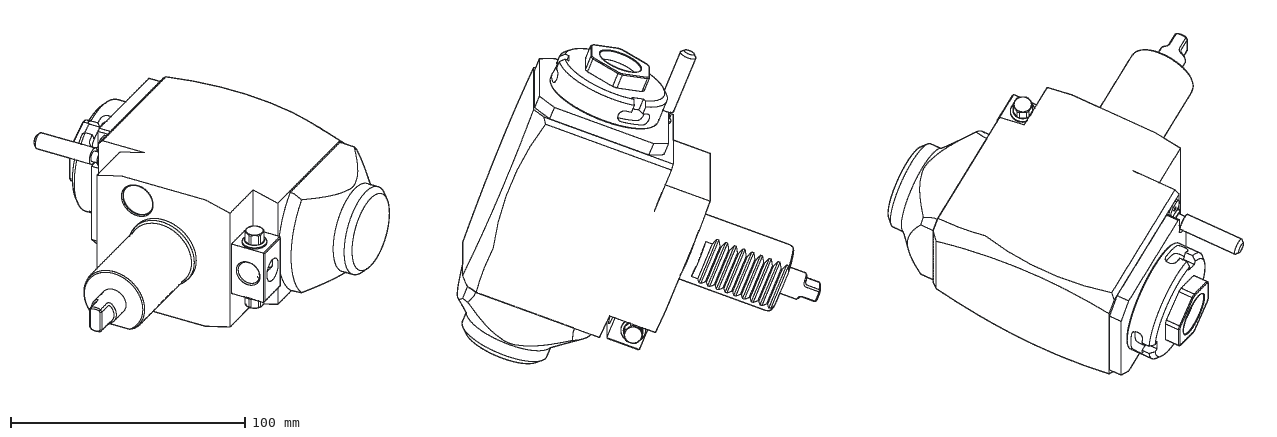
import cadquery as cq
import math


HALF_HEIGHT = 31.97
REAR_Y = 85.0
STEP_Y = 21.0
HEAD_LEFT_X = -42.6
HEAD_RIGHT_X = 44.1
FOOT_HALF_WIDTH = 32.2
TAPER_START_X = 20.3
TAPER_SLOPE = math.tan(math.radians(15))
LEFT_CHAMFER = 2.0
RIGHT_REAR_CHAMFER = 3.2
CROWN_RADIUS = 125.0
CROWN_CENTER_X = -9.5
CROWN_FRONT_Y = 82.6
PLUG_X = -12.6
PLUG_Z = 21.8
PLUG_RADIUS = 7.6
PLUG_DEPTH = 0.9
PLUG_CHAMFER = 0.5

SHANK_RADIUS = 15.0
SHANK_END_Y = -45.3
COLLAR_RADIUS = 15.9
COLLAR_LENGTH = 1.8
COLLAR_BEVEL = 0.9
LEAD_TAPER_LENGTH = 1.3
LEAD_TAPER_DEPTH = 0.3
SHANK_CHAMFER = 0.6
RACK_FLAT_Z = -12.3
RACK_START_Y = -7.2
TOOTH_PITCH = 4.0
TOOTH_DEPTH = 1.8
TOOTH_COUNT = 9
VALLEY_MOUTH = 3.5
VALLEY_FLOOR = 0.9
FIRST_VALLEY_Y = -11.9
DRIVE_RADIUS = 6.0
DRIVE_END_Y = -62.0
TANG_START_Y = -54.8
TANG_HALF_WIDTH = 3.0
TANG_CHAMFER = 0.6
TANG_SIDE_CHAMFER = 0.7
TANG_ROOT_RADIUS = 0.9

SPINDLE_Y = 55.0
PLATE_LEFT_X = -48.2
PLATE_HALF_HEIGHT = 29.5
PLATE_FRONT_Y = 25.3
PLATE_REAR_Y = 84.5
PLATE_CORNER = 6.9
NOTCH_Y = 31.5
NOTCH_Z = 14.4
NOTCH_CHAMFER = 1.0
NOTCH_FILLET = 4.7
NUT_RADIUS = 24.8
NUT_LEFT_X = -61.0
NUT_FRONT_CHAMFER = 1.9
NUT_BACK_CHAMFER = 0.5
SLOT_FLOOR_RADIUS = 21.0
SLOT_WIDTH = 5.3
SLOT_HALF_ANGLE = 13.0
SLOT_X = -53.0
KEYWAY_WIDTH = 6.0
SLOT_COUNT = 3
HEX_ACROSS_FLATS = 26.9
HEX_CORNER_RADIUS = 15.0
HEX_LEFT_X = -67.8
HEX_CHAMFER = 0.5
BORE_RADIUS = 9.4
BORE_DEPTH = 4.4
BORE_CHAMFER = 0.3

PIN_Y = 26.5
PIN_Z = 18.89
PIN_TIP_X = -75.4
PIN_SHOULDER_X = -47.9
PIN_RADIUS = 3.6
PIN_TIP_CHAMFER = 1.3
NECK_RADIUS = 2.4
NECK_END_X = -44.5
FLARE_START_RADIUS = 3.1
DISC_Z = 26.2
DISC_RADIUS = 4.04
DISC_THICKNESS = 0.9
DISC_HOLE_RADIUS = 0.9

CAP_RADIUS = 33.5
CAP_REAR_Y = 81.3
CAP_STRAIGHT_END_X = 50.3
CAP_LAND_END_X = 45.9
CAP_LAND_HALF_HEIGHT = 24.7
CAP_CONE_END_X = 61.5
CAP_CONE_END_RADIUS = 21.0
RING_START_X = 63.2
RING_RADIUS = 19.5
RING_END_X = 71.0
RING_CHAMFER = 2.5

CLAMP_RIGHT_X = 48.0
CLAMP_FRONT_Y = 1.3
CLAMP_REAR_Y = 16.3
CLAMP_HALF_HEIGHT = 12.5
CLAMP_CHAMFER = 0.5
CLAMP_HOLE_RADIUS = 5.1
CLAMP_HOLE_CHAMFER = 0.6
BOLT_X = 40.3
BOLT_Y = 7.0
BOLT_ACROSS_FLATS = 7.6
BOLT_CORNER_RADIUS = 4.1
BOLT_CHAMFER = 0.5
BOLT_TOP_Z = 18.5
WASHER_RADIUS = 5.3
WASHER_NECK_RADIUS = 4.3
WASHER_THICKNESS = 0.6


def box(x0, x1, y0, y1, z0, z1):
    """Box between two opposite corners."""
    return cq.Workplane("XY").box(x1 - x0, y1 - y0, z1 - z0, centered=False).translate((x0, y0, z0))


def turned_along_x(profile, y, z):
    """Solid of revolution about a line parallel to X; profile holds (x, radius) points."""
    solid = cq.Workplane("XY").polyline(profile).close().revolve(360, (0, 0, 0), (1, 0, 0))
    return solid.translate((0, y, z))


def prism_along_y(points, y0, y1):
    """Prism of an (x, z) outline between two Y planes."""
    return cq.Workplane("XZ", origin=(0, y1, 0)).polyline(points).close().extrude(y1 - y0)


def mirrored_in_z(upper):
    """Close an outline from its upper half, given from left to right."""
    return upper + [(x, -z) for x, z in reversed(upper)]


def hexagon_section(workplane, across_flats, angle):
    """Hexagonal outline on the workplane; angle turns its corners."""
    corner_radius = across_flats / math.sqrt(3)
    corners = []
    for i in range(6):
        turn = math.radians(60 * i + angle)
        corners.append((corner_radius * math.cos(turn), corner_radius * math.sin(turn)))
    return workplane.polyline(corners).close()


def countersink(workplane, radius, chamfer):
    """Cutter for the 45 degree chamfer around a hole that sinks along the workplane normal."""
    return workplane.circle(radius + chamfer).extrude(chamfer, taper=45)


def taper_z(x):
    """Height of the tapered side face at a distance x from the shank axis."""
    return HALF_HEIGHT - (x - TAPER_START_X) * TAPER_SLOPE


def housing():
    head_outline = mirrored_in_z([
        (HEAD_LEFT_X, HALF_HEIGHT - LEFT_CHAMFER),
        (HEAD_LEFT_X + LEFT_CHAMFER, HALF_HEIGHT),
        (TAPER_START_X, HALF_HEIGHT),
        (HEAD_RIGHT_X, taper_z(HEAD_RIGHT_X)),
    ])
    head = prism_along_y(head_outline, STEP_Y, REAR_Y)
    head = head.edges("|Z and >X and >Y").chamfer(RIGHT_REAR_CHAMFER)

    crown_mid_radius = CROWN_RADIUS + HALF_HEIGHT
    crown_profile = [
        (0, -HALF_HEIGHT),
        (CROWN_RADIUS, -HALF_HEIGHT),
        (crown_mid_radius, 0),
        (CROWN_RADIUS, HALF_HEIGHT),
        (0, HALF_HEIGHT),
    ]
    crown = cq.Workplane("XZ").polyline(crown_profile).close().revolve(360, (0, 0, 0), (0, 1, 0))
    head = head.intersect(crown.translate((CROWN_CENTER_X, CROWN_FRONT_Y - CROWN_RADIUS, 0)))

    foot_outline = mirrored_in_z([
        (-FOOT_HALF_WIDTH, taper_z(FOOT_HALF_WIDTH)),
        (-TAPER_START_X, HALF_HEIGHT),
        (TAPER_START_X, HALF_HEIGHT),
        (FOOT_HALF_WIDTH, taper_z(FOOT_HALF_WIDTH)),
    ])
    foot = prism_along_y(foot_outline, 0, STEP_Y)
    plug_mouth = cq.Workplane("ZX", origin=(PLUG_X, 0, PLUG_Z))
    floor_radius = PLUG_RADIUS - PLUG_CHAMFER
    plug_recess = plug_mouth.circle(floor_radius).extrude(PLUG_DEPTH)
    plug_edge = countersink(plug_mouth, floor_radius, PLUG_CHAMFER)
    return head.union(foot).cut(plug_recess).cut(plug_edge)


def shank():
    lead_end_y = SHANK_END_Y + SHANK_CHAMFER
    lead_radius = SHANK_RADIUS - LEAD_TAPER_DEPTH
    profile = [
        (0, 0),
        (COLLAR_RADIUS, 0),
        (COLLAR_RADIUS, -COLLAR_LENGTH),
        (SHANK_RADIUS, -COLLAR_LENGTH - COLLAR_BEVEL),
        (SHANK_RADIUS, lead_end_y + LEAD_TAPER_LENGTH),
        (lead_radius, lead_end_y),
        (lead_radius - SHANK_CHAMFER, SHANK_END_Y),
        (0, SHANK_END_Y),
    ]
    body = cq.Workplane("XY").polyline(profile).close().revolve(360, (0, 0, 0), (0, 1, 0))
    flat = box(-SHANK_RADIUS, SHANK_RADIUS, SHANK_END_Y, RACK_START_Y, -SHANK_RADIUS, RACK_FLAT_Z)
    body = body.cut(flat)
    for i in range(TOOTH_COUNT):
        y = FIRST_VALLEY_Y - i * TOOTH_PITCH
        valley = [
            (y - VALLEY_MOUTH / 2, RACK_FLAT_Z),
            (y - VALLEY_FLOOR / 2, RACK_FLAT_Z + TOOTH_DEPTH),
            (y + VALLEY_FLOOR / 2, RACK_FLAT_Z + TOOTH_DEPTH),
            (y + VALLEY_MOUTH / 2, RACK_FLAT_Z),
        ]
        cutter = cq.Workplane("YZ").polyline(valley).close().extrude(SHANK_RADIUS, both=True)
        body = body.cut(cutter)
    return body


def drive_tang():
    start = cq.Workplane("XZ", origin=(0, SHANK_END_Y, 0))
    drive = start.circle(DRIVE_RADIUS).extrude(SHANK_END_Y - DRIVE_END_Y)
    for side in (-1, 1):
        outer_x = side * DRIVE_RADIUS
        flat_x = side * TANG_HALF_WIDTH
        waste = box(min(outer_x, flat_x), max(outer_x, flat_x), DRIVE_END_Y, TANG_START_Y,
                    -DRIVE_RADIUS, DRIVE_RADIUS)
        root_edge = cq.selectors.NearestToPointSelector((flat_x, TANG_START_Y, 0))
        drive = drive.cut(waste.edges("|Z").edges(root_edge).fillet(TANG_ROOT_RADIUS))
    tang_middle_y = (DRIVE_END_Y + TANG_START_Y) / 2
    flat_zone = cq.selectors.BoxSelector(
        (-DRIVE_RADIUS, tang_middle_y - 1.5, -DRIVE_RADIUS),
        (DRIVE_RADIUS, tang_middle_y + 1.5, DRIVE_RADIUS),
    )
    drive = drive.edges(flat_zone).chamfer(TANG_SIDE_CHAMFER)
    return drive.faces("<Y").chamfer(TANG_CHAMFER)


def plate():
    outline = [
        (PLATE_FRONT_Y, -PLATE_HALF_HEIGHT + PLATE_CORNER),
        (PLATE_FRONT_Y, NOTCH_Z),
        (NOTCH_Y, NOTCH_Z),
        (NOTCH_Y, PLATE_HALF_HEIGHT - NOTCH_CHAMFER),
        (NOTCH_Y + NOTCH_CHAMFER, PLATE_HALF_HEIGHT),
        (PLATE_REAR_Y - PLATE_CORNER, PLATE_HALF_HEIGHT),
        (PLATE_REAR_Y, PLATE_HALF_HEIGHT - PLATE_CORNER),
        (PLATE_REAR_Y, -PLATE_HALF_HEIGHT + PLATE_CORNER),
        (PLATE_REAR_Y - PLATE_CORNER, -PLATE_HALF_HEIGHT),
        (PLATE_FRONT_Y + PLATE_CORNER, -PLATE_HALF_HEIGHT),
    ]
    start = cq.Workplane("YZ", origin=(PLATE_LEFT_X, 0, 0))
    blank = start.polyline(outline).close().extrude(HEAD_LEFT_X - PLATE_LEFT_X)
    notch_corner = cq.selectors.NearestToPointSelector((PLATE_LEFT_X, NOTCH_Y, NOTCH_Z))
    return blank.edges("|X").edges(notch_corner).fillet(NOTCH_FILLET)


def slotted_nut():
    nut = turned_along_x([
        (NUT_LEFT_X, 0),
        (NUT_LEFT_X, NUT_RADIUS - NUT_FRONT_CHAMFER),
        (NUT_LEFT_X + NUT_FRONT_CHAMFER, NUT_RADIUS),
        (PLATE_LEFT_X - NUT_BACK_CHAMFER, NUT_RADIUS),
        (PLATE_LEFT_X, NUT_RADIUS - NUT_BACK_CHAMFER),
        (PLATE_LEFT_X, 0),
    ], 0, 0)
    groove_depth = NUT_RADIUS - SLOT_FLOOR_RADIUS
    groove = (
        cq.Workplane("XY")
        .moveTo(SLOT_X, SLOT_FLOOR_RADIUS + groove_depth / 2)
        .rect(SLOT_WIDTH, groove_depth)
        .revolve(2 * SLOT_HALF_ANGLE, (0, 0, 0), (1, 0, 0))
        .rotate((0, 0, 0), (1, 0, 0), -SLOT_HALF_ANGLE)
    )
    round_end = (
        cq.Workplane("XZ", origin=(SLOT_X, NUT_RADIUS, 0))
        .circle(SLOT_WIDTH / 2).extrude(groove_depth)
    )
    for angle in (-SLOT_HALF_ANGLE, SLOT_HALF_ANGLE):
        groove = groove.union(round_end.rotate((0, 0, 0), (1, 0, 0), angle))
    keyway = box(NUT_LEFT_X, SLOT_X - SLOT_WIDTH / 2, SLOT_FLOOR_RADIUS, NUT_RADIUS,
                 -KEYWAY_WIDTH / 2, KEYWAY_WIDTH / 2)
    hook_slot = groove.union(keyway)
    for i in range(SLOT_COUNT):
        nut = nut.cut(hook_slot.rotate((0, 0, 0), (1, 0, 0), i * 360 / SLOT_COUNT))
    return nut.translate((0, SPINDLE_Y, 0))


def spindle_hexagon():
    start = cq.Workplane("YZ", origin=(HEX_LEFT_X, SPINDLE_Y, 0))
    length = NUT_LEFT_X - HEX_LEFT_X
    hexagon = hexagon_section(start, HEX_ACROSS_FLATS, 30).extrude(length)
    blank = start.circle(HEX_CORNER_RADIUS).extrude(length)
    hexagon = hexagon.intersect(blank).faces("<X").chamfer(HEX_CHAMFER)
    bore = start.circle(BORE_RADIUS).extrude(BORE_DEPTH)
    bore_mouth = countersink(start, BORE_RADIUS, BORE_CHAMFER)
    return hexagon.cut(bore).cut(bore_mouth)


def stop_pin():
    return turned_along_x([
        (PIN_TIP_X, 0),
        (PIN_TIP_X, PIN_RADIUS - PIN_TIP_CHAMFER),
        (PIN_TIP_X + PIN_TIP_CHAMFER, PIN_RADIUS),
        (PIN_SHOULDER_X, PIN_RADIUS),
        (PIN_SHOULDER_X, NECK_RADIUS),
        (NECK_END_X, NECK_RADIUS),
        (NECK_END_X, FLARE_START_RADIUS),
        (HEAD_LEFT_X - DISC_THICKNESS, DISC_RADIUS),
        (HEAD_LEFT_X, DISC_RADIUS),
        (HEAD_LEFT_X, 0),
    ], PIN_Y, PIN_Z)


def screw_disc():
    left_x = HEAD_LEFT_X - DISC_THICKNESS
    start = cq.Workplane("YZ", origin=(left_x, PIN_Y, DISC_Z))
    disc = start.circle(DISC_RADIUS).circle(DISC_HOLE_RADIUS).extrude(DISC_THICKNESS)
    flat_z = HALF_HEIGHT - LEFT_CHAMFER
    trim = box(left_x, HEAD_LEFT_X, PIN_Y - DISC_RADIUS, PIN_Y + DISC_RADIUS, flat_z, HALF_HEIGHT)
    return disc.cut(trim)


def end_cap():
    cap = turned_along_x([
        (HEAD_RIGHT_X, 0),
        (HEAD_RIGHT_X, CAP_RADIUS),
        (CAP_STRAIGHT_END_X, CAP_RADIUS),
        (CAP_CONE_END_X, CAP_CONE_END_RADIUS),
        (RING_START_X, RING_RADIUS),
        (RING_END_X - RING_CHAMFER, RING_RADIUS),
        (RING_END_X, RING_RADIUS - RING_CHAMFER),
        (RING_END_X, 0),
    ], SPINDLE_Y, 0)
    envelope_outline = mirrored_in_z([
        (HEAD_RIGHT_X, CAP_LAND_HALF_HEIGHT),
        (CAP_LAND_END_X, CAP_LAND_HALF_HEIGHT),
        (RING_START_X, CAP_LAND_HALF_HEIGHT - (RING_START_X - CAP_LAND_END_X) * TAPER_SLOPE),
        (RING_END_X, RING_RADIUS),
    ])
    envelope = prism_along_y(envelope_outline, SPINDLE_Y - CAP_RADIUS, CAP_REAR_Y)
    return cap.intersect(envelope)


def clamp_block():
    block = box(FOOT_HALF_WIDTH, CLAMP_RIGHT_X, CLAMP_FRONT_Y, CLAMP_REAR_Y,
                -CLAMP_HALF_HEIGHT, CLAMP_HALF_HEIGHT)
    block = block.faces(">X").chamfer(CLAMP_CHAMFER)
    hole_mouth = cq.Workplane("ZX", origin=(BOLT_X, CLAMP_FRONT_Y, 0))
    hole = hole_mouth.circle(CLAMP_HOLE_RADIUS).extrude(CLAMP_REAR_Y - CLAMP_FRONT_Y)
    hole_edge = countersink(hole_mouth, CLAMP_HOLE_RADIUS, CLAMP_HOLE_CHAMFER)
    cross_start = cq.Workplane("YZ", origin=(BOLT_X, (CLAMP_FRONT_Y + CLAMP_REAR_Y) / 2, 0))
    cross_hole = cross_start.circle(CLAMP_HOLE_RADIUS).extrude(CLAMP_RIGHT_X - BOLT_X)
    return block.cut(hole).cut(hole_edge).cut(cross_hole)


def clamp_bolt():
    """Bolt head and flanged washer standing on the upper face of the clamp block."""
    seat = cq.Workplane("XY", origin=(BOLT_X, BOLT_Y, CLAMP_HALF_HEIGHT))
    head_height = BOLT_TOP_Z - CLAMP_HALF_HEIGHT
    head = hexagon_section(seat, BOLT_ACROSS_FLATS, 90).extrude(head_height)
    blank = seat.circle(BOLT_CORNER_RADIUS).extrude(head_height)
    head = head.intersect(blank.faces(">Z").chamfer(BOLT_CHAMFER))
    washer = seat.circle(WASHER_RADIUS).extrude(WASHER_THICKNESS)
    flange = (
        washer.faces(">Z").workplane().circle(WASHER_RADIUS)
        .workplane(offset=WASHER_THICKNESS).circle(WASHER_NECK_RADIUS)
        .loft(combine=True)
    )
    return head.union(flange)


upper_bolt = clamp_bolt()
parts = [
    shank(),
    drive_tang(),
    plate(),
    slotted_nut(),
    spindle_hexagon(),
    stop_pin(),
    screw_disc(),
    end_cap(),
    clamp_block(),
    upper_bolt,
    upper_bolt.mirror("XY"),
]

result = housing()
for part in parts:
    result = result.union(part)